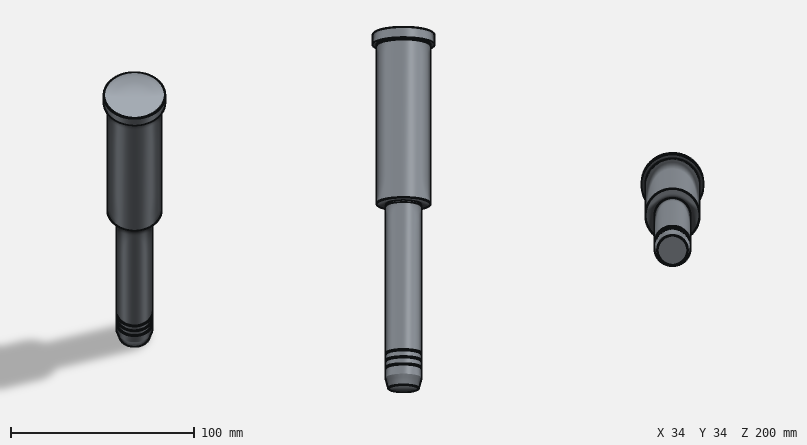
import cadquery as cq
import math

total_length = 200.0
head_diameter = 34.0
head_height = 6.0
head_top_chamfer = 0.5
body_diameter = 30.0
body_length = 90.0
body_end_chamfer = 0.5
shaft_diameter = 20.0

head_relief_width = 1.0
shaft_relief_width = 1.2
shaft_relief_depth = 0.5

ring_count = 3
ring_width = 1.0
ring_pitch = 4.0
lowest_ring_bottom = 11.0

lead_length = 6.0
lead_angle = 15.0
tip_chamfer = 0.5

head_bottom = total_length - head_height
body_bottom = head_bottom - body_length
tip_diameter = shaft_diameter - 2 * lead_length * math.tan(math.radians(lead_angle))


def cylinder(diameter, bottom, height):
    """Upright cylinder on the part axis."""
    return cq.Workplane("XY").workplane(offset=bottom).circle(diameter / 2).extrude(height)


def groove(diameter, bottom, width, depth):
    """Ring of material to cut from a cylinder of the given diameter."""
    return cylinder(diameter, bottom, width).cut(cylinder(diameter - 2 * depth, bottom, width))


def v_groove(diameter, bottom, width):
    """V-shaped ring to cut from a cylinder of the given diameter."""
    radius = diameter / 2
    section = (
        cq.Workplane("XZ")
        .moveTo(radius, bottom)
        .lineTo(radius - width / 2, bottom + width / 2)
        .lineTo(radius, bottom + width)
        .close()
    )
    return section.revolve(360, (0, 0, 0), (0, 1, 0))


head = cylinder(head_diameter, head_bottom, head_height).faces(">Z").chamfer(head_top_chamfer)
body = cylinder(body_diameter, body_bottom, body_length).faces("<Z").chamfer(body_end_chamfer)
body = body.cut(v_groove(body_diameter, head_bottom - head_relief_width, head_relief_width))

shaft = cylinder(shaft_diameter, lead_length, body_bottom - lead_length)
shaft = shaft.cut(groove(shaft_diameter, body_bottom - shaft_relief_width, shaft_relief_width, shaft_relief_depth))
for index in range(ring_count):
    ring_bottom = lowest_ring_bottom + index * ring_pitch
    shaft = shaft.cut(v_groove(shaft_diameter, ring_bottom, ring_width))

lead = (
    cq.Workplane("XY")
    .circle(tip_diameter / 2)
    .workplane(offset=lead_length)
    .circle(shaft_diameter / 2)
    .loft(ruled=True)
    .faces("<Z")
    .chamfer(tip_chamfer)
)

result = head.union(body).union(shaft).union(lead)